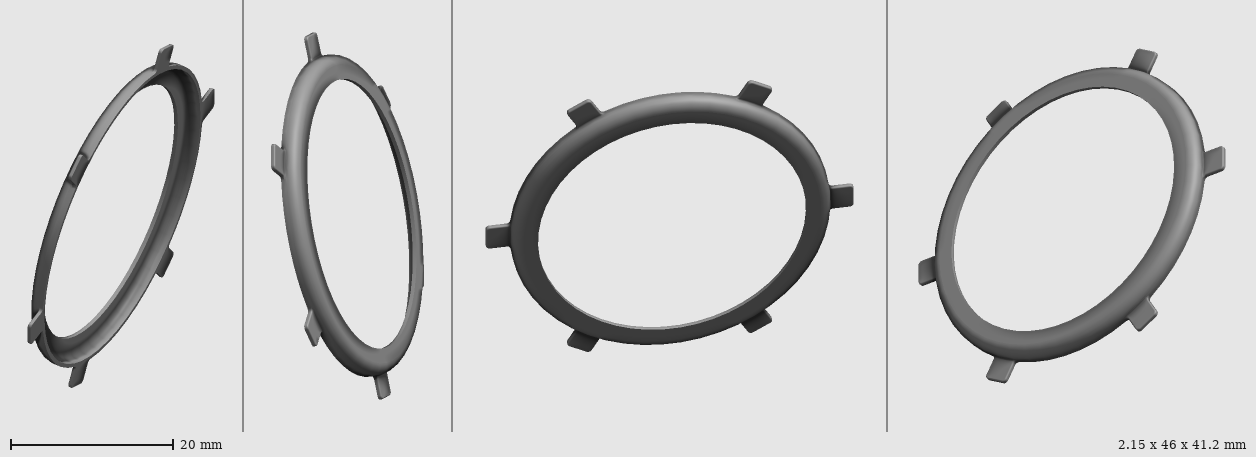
import cadquery as cq
import math

outer_radius = 20.0
hole_radius = 16.8
ring_depth = 2.15
wall = 0.5
shoulder_radius = 1.4

tab_count = 6
tab_tip_radius = 23.0
tab_width = 3.45
tab_thickness = wall
tab_corner_radius = 0.5
root_corner_radius = 0.5
front_edge_radius = 0.2
selection_margin = 0.025


def make_ring():
    """Revolve the L-shaped wall section, drawn as (x, radius), about the X axis."""
    inner_radius = outer_radius - wall
    inner_shoulder = shoulder_radius - wall
    shoulder_x = shoulder_radius - ring_depth
    shoulder_r = outer_radius - shoulder_radius
    arc_reach = math.sqrt(0.5)

    outer_mid = (shoulder_x - shoulder_radius * arc_reach, shoulder_r + shoulder_radius * arc_reach)
    inner_mid = (shoulder_x - inner_shoulder * arc_reach, shoulder_r + inner_shoulder * arc_reach)
    return (
        cq.Workplane("XY")
        .moveTo(0, outer_radius)
        .lineTo(shoulder_x, outer_radius)
        .threePointArc(outer_mid, (-ring_depth, shoulder_r))
        .lineTo(-ring_depth, hole_radius)
        .lineTo(wall - ring_depth, hole_radius)
        .lineTo(wall - ring_depth, shoulder_r)
        .threePointArc(inner_mid, (shoulder_x, inner_radius))
        .lineTo(0, inner_radius)
        .close()
        .revolve(360, (0, 0, 0), (1, 0, 0))
    )


def make_tab():
    """Tab along +Y, rooted in the middle of the cylindrical wall, with rounded tip corners."""
    root_radius = outer_radius - wall / 2
    tab_length = tab_tip_radius - root_radius
    return (
        cq.Workplane("XY")
        .box(tab_thickness, tab_length, tab_width)
        .edges(">Y and |X")
        .fillet(tab_corner_radius)
        .translate((-tab_thickness / 2, root_radius + tab_length / 2, 0))
    )


def make_wedge():
    """Triangular prism that takes in one tab and its share of the ring, centred on +Y."""
    reach = 2 * tab_tip_radius
    half_span = reach * math.tan(math.pi / tab_count)
    return (
        cq.Workplane("YZ")
        .polyline([(0, 0), (reach, -half_span), (reach, half_span)])
        .close()
        .extrude(ring_depth, both=True)
    )


def blend_tab(body):
    """Round the +Y tab's two root corners, then the whole outline of its front face."""
    side_reach = tab_width / 2 + 2 * root_corner_radius
    root_low = outer_radius - root_corner_radius
    front_low = -tab_thickness - selection_margin

    root_zone = cq.selectors.BoxSelector(
        (-tab_thickness, root_low, -side_reach),
        (0, outer_radius, side_reach),
    )
    front_zone = cq.selectors.BoxSelector(
        (front_low, root_low, -side_reach),
        (front_low + 2 * selection_margin, tab_tip_radius + selection_margin, side_reach),
    )
    body = body.edges(root_zone).edges("|X").fillet(root_corner_radius)
    return body.edges(front_zone).fillet(front_edge_radius)


blended_ring = blend_tab(make_ring().union(make_tab()))
sector = blended_ring.intersect(make_wedge())

result = sector
for index in range(1, tab_count):
    angle = index * 360 / tab_count
    result = result.union(sector.rotate((0, 0, 0), (1, 0, 0), angle))
result = result.clean()